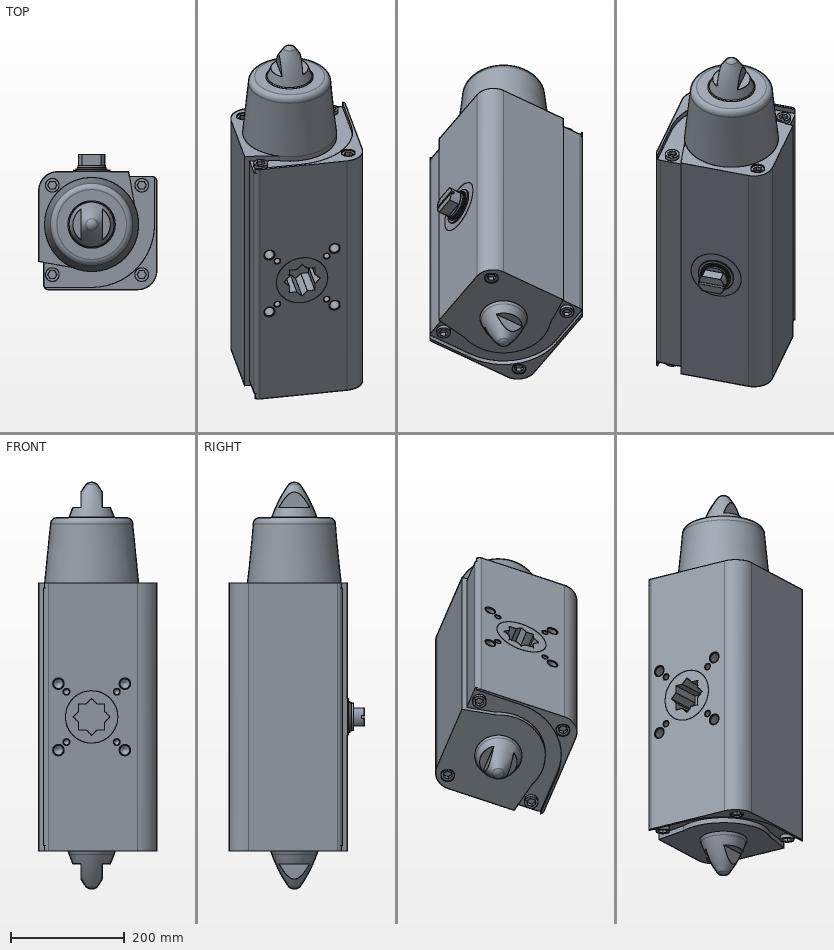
import cadquery as cq
import math


SHORT_SIDE = 93.1
LONG_SIDE = 114.6
STEPPED_SIDE = 84.5
STEP_START = 65.0
STEP_ANGLE = 10.0
BIG_CORNER_RADIUS = 34.0
SMALL_CORNER_RADIUS = 9.0
HALF_LENGTH = 235.5

POCKET_RADIUS = 110.5
POCKET_DEPTH = 9.5
SCREW_NEAR = 69.0
SCREW_FAR = 88.0
SCREW_HEAD_DIAMETER = 24.0
SCREW_HEAD_SINK = 2.7
SOCKET_FLATS = 14.0
SOCKET_DEPTH = 8.0

CAP_BASE_RADIUS = 82.6
CAP_SHOULDER_RADIUS = 72.3
CAP_ROUND = 11.0
CAP_HEIGHT = 114.3
POINTER_BASE_RADIUS = 39.5
POINTER_MID_RADIUS = 27.0
POINTER_TIP_RADIUS = 10.0
POINTER_HEIGHT = 60.95
POINTER_MID_DEPTH = 32.0
POINTER_DOME_HEIGHT = 4.0
BLADE_WIDTH = 37.5
BLADE_HEIGHT = 44.3
FLANGE_RADIUS = 41.6
TOP_FLANGE_HEIGHT = 1.4
BOTTOM_FLANGE_HEIGHT = 5.85

LARGE_HOLE_DIAMETER = 17.29
LARGE_HOLE_CIRCLE = 165.0
LARGE_HOLE_DEPTH = 35.0
LARGE_HOLE_MOUTH = 20.0
SMALL_HOLE_DIAMETER = 10.11
SMALL_HOLE_CIRCLE = 125.0
SMALL_HOLE_DEPTH = 24.0
SMALL_HOLE_MOUTH = 12.0
DRILL_POINT_ANGLE = 118.0

SHAFT_DIAMETER = 92.0
STAR_FLATS = 45.7
STAR_DEPTH = 60.0
COLLAR_DIAMETERS = (64.0, 54.6, 50.0)
COLLAR_STEP_HEIGHT = 2.3
NECK_DIAMETER = 48.0
NECK_LENGTH = 4.0
SHAFT_END = 123.1
STUB_DIAMETER = 46.5
STUB_FLATS = 32.0
SLOT_WIDTH = 4.0
SLOT_DEPTH = 5.0

STEP_SLOPE = math.tan(math.radians(STEP_ANGLE))
STEP_END = STEP_START + (SHORT_SIDE - STEPPED_SIDE) * STEP_SLOPE


def swapped(point):
    """The point mirrored about the line y = -x."""
    return (-point[1], -point[0])


def build_body():
    """The extruded housing block with its two steps and rounded corners."""
    step_outer = (-SHORT_SIDE, -STEP_START)
    step_inner = (-STEPPED_SIDE, -STEP_END)
    small_corner = (-STEPPED_SIDE, -LONG_SIDE)
    outline = [
        (-SHORT_SIDE, SHORT_SIDE),
        step_outer,
        step_inner,
        small_corner,
        (LONG_SIDE, -LONG_SIDE),
        swapped(small_corner),
        swapped(step_inner),
        swapped(step_outer),
    ]
    block = cq.Workplane("XY").polyline(outline).close().extrude(HALF_LENGTH, both=True)

    def edge_at(point):
        return cq.selectors.NearestToPointSelector((point[0], point[1], 0))

    for corner in [outline[0], outline[4]]:
        block = block.edges(edge_at(corner)).fillet(BIG_CORNER_RADIUS)
    for corner in [small_corner, swapped(small_corner)]:
        block = block.edges(edge_at(corner)).fillet(SMALL_CORNER_RADIUS)
    return block


def end_pocket():
    """Pocket around the cap on the +Z end, open to the two set-back sides."""
    floor = HALF_LENGTH - POCKET_DEPTH
    outside = 2 * LONG_SIDE
    area = (
        cq.Workplane("XY", origin=(0, 0, floor))
        .moveTo(-outside, -POCKET_RADIUS)
        .lineTo(0, -POCKET_RADIUS)
        .threePointArc(
            (POCKET_RADIUS * math.sqrt(0.5), -POCKET_RADIUS * math.sqrt(0.5)),
            (POCKET_RADIUS, 0),
        )
        .lineTo(POCKET_RADIUS, outside)
        .lineTo(-outside, outside)
        .close()
        .extrude(POCKET_DEPTH)
    )
    wall_end = (0, -STEP_START - SHORT_SIDE * STEP_SLOPE)
    wall_start = (-outside, -STEP_START + (outside - SHORT_SIDE) * STEP_SLOPE)
    land = (
        cq.Workplane("XY", origin=(0, 0, floor))
        .polyline(
            [
                (0, 0),
                wall_end,
                wall_start,
                (-outside, outside),
                swapped(wall_start),
                swapped(wall_end),
            ]
        )
        .close()
        .extrude(POCKET_DEPTH)
    )
    cap_foot = cq.Workplane("XY", origin=(0, 0, floor)).circle(CAP_BASE_RADIUS).extrude(POCKET_DEPTH)
    return area.cut(land).cut(cap_foot)


def screw_places():
    """Screw axes at one end face."""
    return [(x, y) for x in (-SCREW_NEAR, SCREW_FAR) for y in (SCREW_NEAR, -SCREW_FAR)]


def end_screws(body):
    """Sunken socket screw heads on the +Z end."""
    head_top = HALF_LENGTH - SCREW_HEAD_SINK
    heads = (
        cq.Workplane("XY", origin=(0, 0, HALF_LENGTH - POCKET_DEPTH))
        .pushPoints(screw_places())
        .circle(SCREW_HEAD_DIAMETER / 2)
        .extrude(POCKET_DEPTH)
    )
    sinks = (
        cq.Workplane("XY", origin=(0, 0, head_top))
        .pushPoints(screw_places())
        .circle(SCREW_HEAD_DIAMETER / 2)
        .extrude(SCREW_HEAD_SINK)
    )
    sockets = (
        cq.Workplane("XY", origin=(0, 0, head_top - SOCKET_DEPTH))
        .pushPoints(screw_places())
        .polygon(6, SOCKET_FLATS / math.cos(math.pi / 6))
        .extrude(SOCKET_DEPTH)
    )
    return body.union(heads).cut(sinks).cut(sockets)


def spring_cap():
    """Tapered cap on the +Z end with a rounded shoulder."""
    flat_radius = CAP_SHOULDER_RADIUS - CAP_ROUND
    diagonal = CAP_ROUND * math.sqrt(0.5)
    round_base = CAP_HEIGHT - CAP_ROUND
    return (
        cq.Workplane("XZ", origin=(0, 0, HALF_LENGTH))
        .lineTo(CAP_BASE_RADIUS, 0)
        .lineTo(CAP_SHOULDER_RADIUS, round_base)
        .threePointArc((flat_radius + diagonal, round_base + diagonal), (flat_radius, CAP_HEIGHT))
        .lineTo(0, CAP_HEIGHT)
        .close()
        .revolve(360, (0, 0, 0), (0, 1, 0))
    )


def pointer(flange_height):
    """Position pointer standing on z = 0: tapered flange, bulged cone, flat blade and domed tip."""
    height = flange_height + POINTER_HEIGHT
    dome_base = height - POINTER_DOME_HEIGHT
    dome_radius = (POINTER_TIP_RADIUS**2 + POINTER_DOME_HEIGHT**2) / (2 * POINTER_DOME_HEIGHT)
    dome_mid = POINTER_TIP_RADIUS / 2
    dome_drop = dome_radius - math.sqrt(dome_radius**2 - dome_mid**2)
    turned = (
        cq.Workplane("XZ")
        .lineTo(FLANGE_RADIUS, 0)
        .lineTo(POINTER_BASE_RADIUS, flange_height)
        .threePointArc(
            (POINTER_MID_RADIUS, height - POINTER_MID_DEPTH),
            (POINTER_TIP_RADIUS, dome_base),
        )
        .threePointArc((dome_mid, height - dome_drop), (0, height))
        .close()
        .revolve(360, (0, 0, 0), (0, 1, 0))
    )
    side_width = FLANGE_RADIUS
    for side in (-1, 1):
        side_cut = cq.Workplane("XY").box(
            side_width, 2 * FLANGE_RADIUS, BLADE_HEIGHT, centered=(True, True, False)
        )
        offset = side * (BLADE_WIDTH + side_width) / 2
        turned = turned.cut(side_cut.translate((offset, 0, height - BLADE_HEIGHT)))
    return turned


def mounting_holes(diameter, mouth, circle, depth):
    """Four chamfered, drill-pointed holes in the -Y face on one bolt circle."""
    radius = diameter / 2
    mouth_radius = mouth / 2
    point_depth = depth + radius / math.tan(math.radians(DRILL_POINT_ANGLE / 2))
    hole = (
        cq.Workplane("XY")
        .lineTo(mouth_radius, 0)
        .lineTo(radius, mouth_radius - radius)
        .lineTo(radius, depth)
        .lineTo(0, point_depth)
        .close()
        .revolve(360, (0, 0, 0), (0, 1, 0))
        .translate((0, -LONG_SIDE, 0))
    )
    reach = circle / 2 * math.sqrt(0.5)
    holes = cq.Workplane("XY")
    for x in (-reach, reach):
        for z in (-reach, reach):
            holes = holes.add(hole.translate((x, 0, z)))
    return holes


def shaft_cylinder():
    """Cylinder along Y that fills the housing from face to face."""
    return (
        cq.Workplane("XZ", origin=(0, SHORT_SIDE, 0))
        .circle(SHAFT_DIAMETER / 2)
        .extrude(SHORT_SIDE + LONG_SIDE)
    )


def build_housing():
    """Block with end pockets, screws, cap, pointers, mounting holes and the shaft bore."""
    housing = build_body()
    for _ in range(2):
        housing = end_screws(housing.cut(end_pocket()))
        housing = housing.mirror("XY")
    top_pointer = pointer(TOP_FLANGE_HEIGHT).translate((0, 0, HALF_LENGTH + CAP_HEIGHT))
    bottom_pointer = pointer(BOTTOM_FLANGE_HEIGHT).mirror("XY").translate((0, 0, -HALF_LENGTH))
    housing = housing.union(spring_cap()).union(top_pointer).union(bottom_pointer)
    large_holes = mounting_holes(
        LARGE_HOLE_DIAMETER, LARGE_HOLE_MOUTH, LARGE_HOLE_CIRCLE, LARGE_HOLE_DEPTH
    )
    small_holes = mounting_holes(
        SMALL_HOLE_DIAMETER, SMALL_HOLE_MOUTH, SMALL_HOLE_CIRCLE, SMALL_HOLE_DEPTH
    )
    for hole in large_holes.vals() + small_holes.vals():
        housing = housing.cut(cq.Workplane(hole))
    return housing.cut(shaft_cylinder())


def build_shaft():
    """Drive shaft with a star socket in front and a slotted, two-flat stub behind."""
    shaft = shaft_cylinder()
    collar_top = SHORT_SIDE
    for diameter in COLLAR_DIAMETERS:
        collar_top += COLLAR_STEP_HEIGHT
        shaft = shaft.union(
            cq.Workplane("XZ", origin=(0, collar_top, 0)).circle(diameter / 2).extrude(COLLAR_STEP_HEIGHT)
        )
    neck_top = collar_top + NECK_LENGTH
    neck = cq.Workplane("XZ", origin=(0, neck_top, 0)).circle(NECK_DIAMETER / 2).extrude(NECK_LENGTH)
    end_plane = cq.Workplane("XZ", origin=(0, SHAFT_END, 0))
    stub_length = SHAFT_END - neck_top
    flats = end_plane.rect(STUB_DIAMETER, STUB_FLATS).extrude(stub_length)
    stub = end_plane.circle(STUB_DIAMETER / 2).extrude(stub_length).intersect(flats)
    slot = end_plane.rect(STUB_DIAMETER, SLOT_WIDTH).extrude(SLOT_DEPTH)
    shaft = shaft.union(neck).union(stub.cut(slot))
    for angle in (0, 45):
        square = (
            cq.Workplane("XZ", origin=(0, STAR_DEPTH - LONG_SIDE, 0))
            .rect(STAR_FLATS, STAR_FLATS)
            .extrude(STAR_DEPTH)
            .rotate((0, 0, 0), (0, 1, 0), angle)
        )
        shaft = shaft.cut(square)
    return shaft


housing = build_housing()
shaft = build_shaft()
result = cq.Compound.makeCompound([housing.solids().val(), shaft.solids().val()])